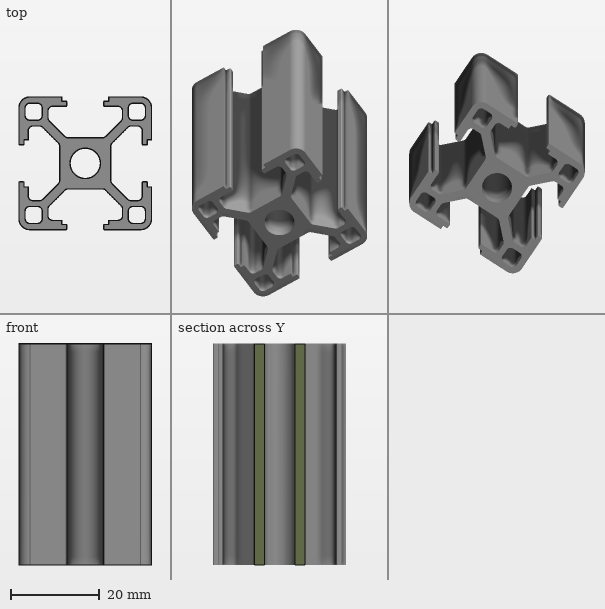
import cadquery as cq
import math

side = 30.0
length = 50.0
half = side / 2
outer_radius = 2.5

mouth_half = 4.15
chamber_half = 8.4
lip_thickness = 2.15
slot_depth = 9.2
web_thickness = 2.1
slot_radius = 1.0
lip_tip_radius = 0.25

rebate_half = 5.3
rebate_depth = 0.95
tip_thickness = lip_thickness - rebate_depth

bore_diameter = 6.8
hollow_side = 3.8
hollow_center = 11.65
hollow_radius = 1.0

slots = (
    (0, True),
    (90, False),
    (180, False),
    (270, True),
)


def box_from_y(half_width, y_start, y_end):
    """Full-length box centred on X between two Y positions."""
    return (
        cq.Workplane("XY")
        .center(0, (y_start + y_end) / 2)
        .rect(2 * half_width, y_end - y_start)
        .extrude(length)
    )


def make_slot():
    """Cutter for the slot in the +Y face: narrow mouth, wide chamber, 45 degree flanks."""
    flank_offset = web_thickness / math.sqrt(2)
    floor_y = half - slot_depth
    floor_half = floor_y - flank_offset
    lip_y = half - lip_thickness
    outline = [
        (floor_half, floor_y),
        (chamber_half, chamber_half + flank_offset),
        (chamber_half, lip_y),
        (-chamber_half, lip_y),
        (-chamber_half, chamber_half + flank_offset),
        (-floor_half, floor_y),
    ]
    chamber = cq.Workplane("XY").polyline(outline).close().extrude(length)
    chamber = chamber.edges("|Z").fillet(slot_radius)
    mouth = box_from_y(mouth_half, floor_y + slot_radius, half)
    return chamber.union(mouth)


def make_rebate(outside):
    """Cutter that thins both lip tips of the +Y slot from the outside or the inside."""
    y_top = half if outside else half - tip_thickness
    return box_from_y(rebate_half, y_top - rebate_depth, y_top)


def round_lip_tips(body, outside):
    """Round both corners of each lip tip beside the +Y slot mouth."""
    tip_top = half - rebate_depth if outside else half
    tip_bottom = tip_top - tip_thickness
    for x in (-mouth_half, mouth_half):
        for y in (tip_top, tip_bottom):
            corner = cq.selectors.NearestToPointSelector((x, y, length / 2))
            body = body.edges("|Z").edges(corner).fillet(lip_tip_radius)
    return body


profile = cq.Workplane("XY").rect(side, side).extrude(length)
profile = profile.edges("|Z").fillet(outer_radius)

for angle, outside in slots:
    cutter = make_slot().union(make_rebate(outside))
    profile = profile.rotate((0, 0, 0), (0, 0, 1), -angle)
    profile = round_lip_tips(profile.cut(cutter), outside)
    profile = profile.rotate((0, 0, 0), (0, 0, 1), angle)

bore = cq.Workplane("XY").circle(bore_diameter / 2).extrude(length)
corner_hollows = (
    cq.Workplane("XY")
    .rarray(2 * hollow_center, 2 * hollow_center, 2, 2)
    .rect(hollow_side, hollow_side)
    .extrude(length)
    .edges("|Z")
    .fillet(hollow_radius)
)

result = profile.cut(bore).cut(corner_hollows)